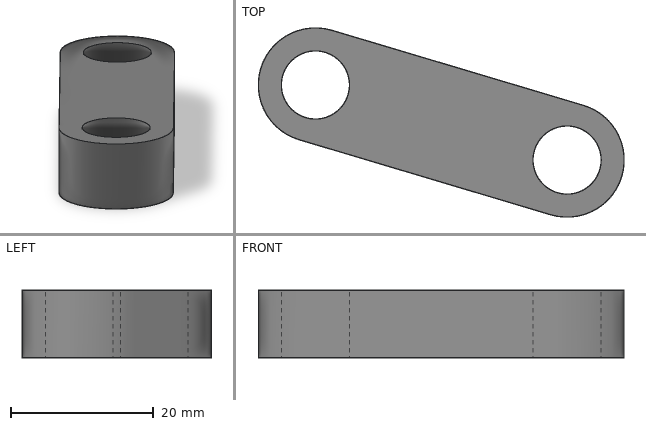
import cadquery as cq
import math

length_x = 51.2
width_y = 26.5
thickness = 9.5
end_radius = 8.0
hole_diameter = 9.5

span_x = length_x - 2 * end_radius
span_y = width_y - 2 * end_radius
pin_spacing = math.hypot(span_x, span_y)
slope_angle = -math.degrees(math.atan2(span_y, span_x))
pin_centres = [(-span_x / 2, span_y / 2), (span_x / 2, -span_y / 2)]


def link_body():
    """Flat bar with full-round ends, centred on the origin in X and Y."""
    overall_length = pin_spacing + 2 * end_radius
    return (
        cq.Workplane("XY")
        .slot2D(overall_length, 2 * end_radius, slope_angle)
        .extrude(thickness)
    )


def pin_holes():
    """Through-hole cutters, concentric with the rounded ends."""
    return (
        cq.Workplane("XY")
        .pushPoints(pin_centres)
        .circle(hole_diameter / 2)
        .extrude(thickness)
    )


result = link_body().cut(pin_holes())